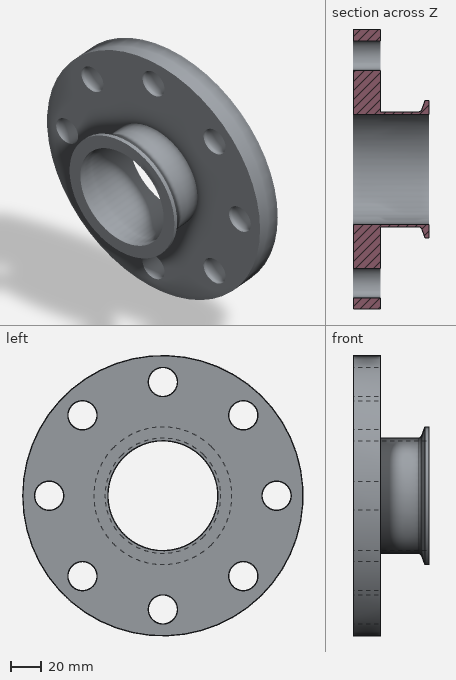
import cadquery as cq
import math

flange_diameter = 185.0
flange_thickness = 18.0
total_length = 50.0
bore_diameter = 72.3

bolt_hole_diameter = 19.0
bolt_circle_diameter = 150.0
bolt_count = 8

tube_diameter = 76.2
rim_diameter = 91.0
rim_width = 2.8
clamp_face_angle = 20.0
root_fillet_radius = 2.0

flange_radius = flange_diameter / 2
bore_radius = bore_diameter / 2
tube_radius = tube_diameter / 2
rim_radius = rim_diameter / 2
rim_start = total_length - rim_width
cone_length = (rim_radius - tube_radius) * math.tan(math.radians(clamp_face_angle))
cone_start = rim_start - cone_length

cone_slope = math.radians(90 - clamp_face_angle)
fillet_setback = root_fillet_radius * math.tan(cone_slope / 2)
fillet_start = cone_start - fillet_setback
fillet_end = (
    cone_start + fillet_setback * math.cos(cone_slope),
    tube_radius + fillet_setback * math.sin(cone_slope),
)


def revolved_body():
    """Flange and ferrule turned about X, with the bore left open."""
    profile = (
        cq.Workplane("XY")
        .moveTo(0, bore_radius)
        .lineTo(0, flange_radius)
        .lineTo(flange_thickness, flange_radius)
        .lineTo(flange_thickness, tube_radius)
        .lineTo(fillet_start, tube_radius)
        .tangentArcPoint(fillet_end, relative=False)
        .lineTo(rim_start, rim_radius)
        .lineTo(total_length, rim_radius)
        .lineTo(total_length, bore_radius)
        .close()
    )
    return profile.revolve(360, (0, 0, 0), (1, 0, 0))


def bolt_holes():
    """Cylinders through the flange, evenly spaced with one on the Y axis."""
    return (
        cq.Workplane("YZ")
        .polarArray(bolt_circle_diameter / 2, 0, 360, bolt_count)
        .circle(bolt_hole_diameter / 2)
        .extrude(flange_thickness)
    )


result = revolved_body().cut(bolt_holes())